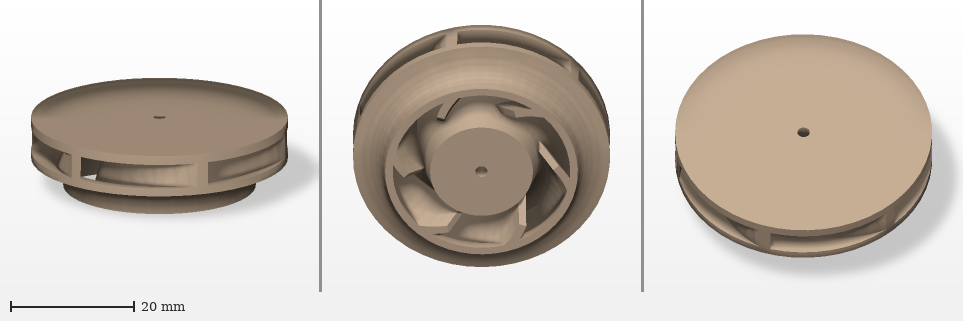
import cadquery as cq
import math

outer_radius = 20.85
total_height = 11.55
bore_radius = 1.0

plate_thickness = 1.55
passage_height = 4.0
rim_thickness = 1.35
plate_underside = total_height - plate_thickness
shroud_top = plate_underside - passage_height
rim_bottom = shroud_top - rim_thickness

neck_radius = 15.65
shroud_wall = 1.25
eye_radius = neck_radius - shroud_wall
neck_pull = 3.15
rim_pull = 3.35

hub_flare_radius = 15.25
hub_nose_radius = 8.35
hub_flare_direction = (-1, -0.25)
hub_nose_direction = (-0.2, -1)

vane_count = 6
vane_pitch = 360 / vane_count
tip_half_width = 0.9
vane_thickness = 1.25
vane_end_angle = 150
inlet_arc_centre = (-1.45, -8.15)
plate_arc_centre = (8.0, -5.75)


def revolve_profile(profile):
    """Close a radius-height profile and turn it around the Z axis."""
    return profile.close().revolve(360, (0, 0, 0), (0, 1, 0))


def flare(profile, bottom_radius, rim_height):
    """Add the flare curve from the rim at rim_height down to the neck at height 0."""
    return profile.lineTo(outer_radius, rim_height).bezier(
        [
            (outer_radius - rim_pull, rim_height),
            (bottom_radius, neck_pull * rim_height / rim_bottom),
            (bottom_radius, 0),
        ],
        includeCurrent=True,
    )


def flared_body(bottom_radius, rim_height, top):
    """Solid of revolution bounded by a flare curve below and a flat face on top."""
    profile = cq.Workplane("XZ").lineTo(0, top).lineTo(outer_radius, top)
    return revolve_profile(flare(profile, bottom_radius, rim_height))


def make_back_plate():
    """Flat disc with a hub that flares down from its underside."""
    profile = (
        cq.Workplane("XZ")
        .lineTo(0, total_height)
        .lineTo(outer_radius, total_height)
        .lineTo(outer_radius, plate_underside)
        .lineTo(hub_flare_radius, plate_underside)
        .spline(
            [(hub_nose_radius, 0)],
            tangents=[hub_flare_direction, hub_nose_direction],
            includeCurrent=True,
        )
    )
    return revolve_profile(profile)


def draw_vane_section(plane, arc_centre):
    """Draw a vane section: an outer and an inner arc from the rim to the blunt inner end."""
    centre_x, centre_y = arc_centre
    tip_dx = -tip_half_width - centre_x
    tip_dy = -outer_radius - centre_y
    outer_face = math.hypot(tip_dx, tip_dy)
    inner_face = outer_face - vane_thickness
    tip_angle = math.degrees(math.atan2(tip_dy, tip_dx)) % 360
    middle_angle = (tip_angle + vane_end_angle) / 2

    def around_centre(radius, degrees):
        angle = math.radians(degrees)
        return (centre_x + radius * math.cos(angle), centre_y + radius * math.sin(angle))

    return (
        plane.moveTo(-tip_half_width, -outer_radius)
        .threePointArc(
            around_centre(outer_face, middle_angle),
            around_centre(outer_face, vane_end_angle),
        )
        .lineTo(*around_centre(inner_face, vane_end_angle))
        .threePointArc(
            around_centre(inner_face, middle_angle),
            (tip_half_width, -outer_radius),
        )
        .close()
    )


def make_vane(passage):
    """Leaning vane from the inlet to the back plate, trimmed to the flow passage."""
    foot = draw_vane_section(cq.Workplane("XY"), inlet_arc_centre)
    head_plane = foot.workplane(offset=plate_underside)
    head = draw_vane_section(head_plane, plate_arc_centre)
    return head.loft(ruled=True).intersect(passage)


passage = flared_body(eye_radius, shroud_top, plate_underside)
shroud = flared_body(neck_radius, rim_bottom, shroud_top).cut(passage)
result = make_back_plate().union(shroud)

vane = make_vane(passage)
for index in range(vane_count):
    result = result.union(vane.rotate((0, 0, 0), (0, 0, 1), index * vane_pitch), clean=False)

result = result.cut(cq.Workplane("XY").circle(bore_radius).extrude(total_height), clean=False)